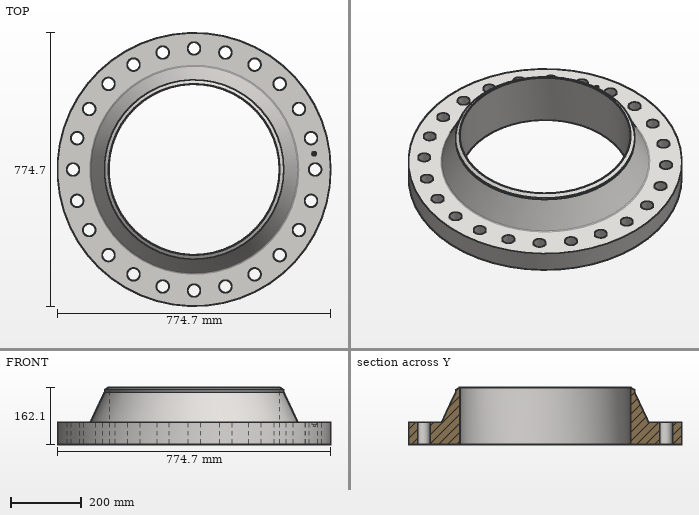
import cadquery as cq
import math

flange_diameter = 774.7
flange_thickness = 63.5
overall_height = 162.12

bolt_count = 24
bolt_circle_diameter = 685.8
bolt_hole_diameter = 35.0

bore_diameter = 482.6
hub_base_diameter = 588.0
neck_diameter = 508.0
neck_land_height = 6.5
hub_fillet_radius = 3.0

weld_bevel_height = 7.0
weld_root_face = 1.6

small_hole_diameter = 12.0
small_hole_depth = 12.0
small_hole_core_diameter = 6.0
small_hole_step_depth = 6.0
small_hole_angle = 180.0 / bolt_count


def on_bolt_circle(angle):
    """Return the point of the bolt circle at an angle in degrees."""
    radius = bolt_circle_diameter / 2
    return (radius * math.cos(math.radians(angle)), radius * math.sin(math.radians(angle)))


def make_body():
    """Revolve the flange plate, tapered hub and bevelled neck as one ring."""
    bore_radius = bore_diameter / 2
    flange_radius = flange_diameter / 2
    hub_radius = hub_base_diameter / 2
    neck_radius = neck_diameter / 2
    bevel_start = overall_height - weld_bevel_height
    profile = (
        cq.Workplane("XZ")
        .moveTo(bore_radius, 0)
        .lineTo(flange_radius, 0)
        .lineTo(flange_radius, flange_thickness)
        .lineTo(hub_radius, flange_thickness)
        .lineTo(neck_radius, bevel_start - neck_land_height)
        .lineTo(neck_radius, bevel_start)
        .lineTo(bore_radius + weld_root_face, overall_height)
        .lineTo(bore_radius, overall_height)
        .close()
    )
    ring = profile.revolve(360, (0, 0, 0), (0, 1, 0))
    hub_root = cq.selectors.RadiusNthSelector(-2)
    return ring.edges("%CIRCLE").edges(hub_root).fillet(hub_fillet_radius)


def make_bolt_holes():
    """Through holes evenly spaced on the bolt circle, the first one on +X."""
    pitch = 360.0 / bolt_count
    centers = [on_bolt_circle(index * pitch) for index in range(bolt_count)]
    return (
        cq.Workplane("XY")
        .pushPoints(centers)
        .circle(bolt_hole_diameter / 2)
        .extrude(flange_thickness)
    )


def make_small_hole():
    """Stepped blind hole sunk into the upper flange face on the bolt circle."""
    x, y = on_bolt_circle(small_hole_angle)
    mouth = cq.Workplane("XY", origin=(x, y, flange_thickness))
    upper_bore = mouth.circle(small_hole_diameter / 2).extrude(-small_hole_step_depth)
    lower_bore = mouth.circle(small_hole_core_diameter / 2).extrude(-small_hole_depth)
    return upper_bore.union(lower_bore)


result = make_body().cut(make_bolt_holes()).cut(make_small_hole())